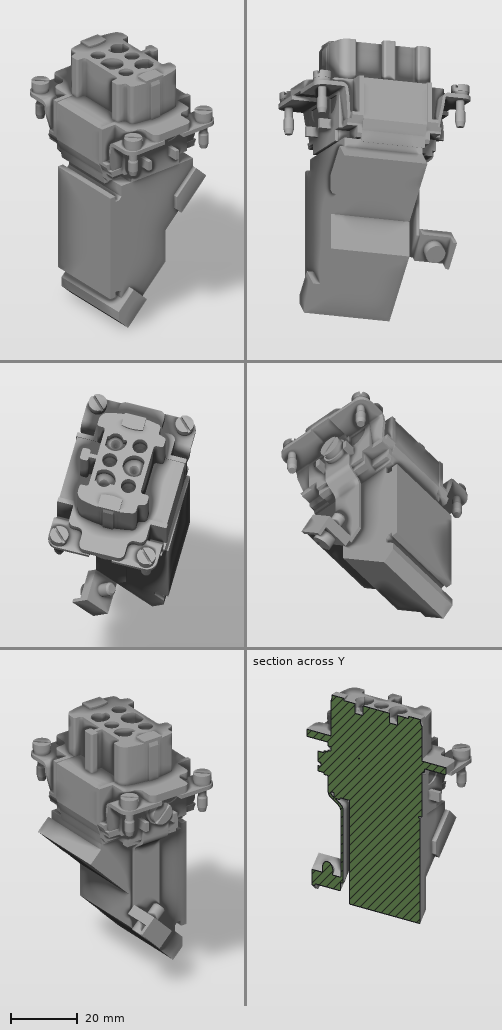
import cadquery as cq
import math

HEAD_TOP = 80.2
LATCH_TOP = 80.9
FLANGE_TOP = 67.3
FLANGE_BOTTOM = 64.75
SHEET = 1.3
INSERT_BOTTOM = 47.35
NECK_TOP = 48.1
OUTER_LEDGE_TOP = 53.8
INNER_LEDGE_TOP = 55.9
LEDGE_BOTTOM = 51.9

HEAD_WAIST_Y = 7.85
PANEL_X = 10.3
COLUMN_X = 11.7
INNER_LEDGE_X = 13.9
OUTER_LEDGE_X = 15.1
CORE_X = 16.35
CORE_Y = 12.0
RECESS_DEPTH = 0.5
FINGER_X = 17.3
FINGER_Y = 3.6
SKIRT_Y = 9.1
PANEL_Y = 16.75
COLUMN_Y = 17.0
BRACKET_Y = 16.9

SCREW_X = 22.3
SCREW_Y = 13.5
SCREW_HEAD_D = 5.5
SCREW_HEAD_TOP = 68.1
SCREW_SLOT = 0.8
BRACKET_LENGTH = 50.6
LEG_X = 18.6

STRAP_OUTER_X = -17.3
STRAP_LOWER_X = -12.7
STRAP_SHEET = 1.0
STRAP_Y = 4.6
STRAP_TOP = 62.2
STRAP_SCREW_Z = 57.6

HOOD_LEFT = -9.6
HOOD_RIGHT = 15.7
NOSE_RIGHT = 17.2
FOOT_RIGHT = 18.0


def box(x0, x1, y0, y1, z0, z1):
    """Axis-aligned block between two corners."""
    return cq.Workplane("XY").box(x1 - x0, y1 - y0, z1 - z0, centered=False).translate((x0, y0, z0))


def cylinder(diameter, x, y, z0, z1):
    """Upright cylinder."""
    return cq.Workplane("XY").center(x, y).circle(diameter / 2).extrude(z1 - z0).translate((0, 0, z0))


def extrude_yz(points, x0, x1):
    """Prism along X from a (Y, Z) outline."""
    return cq.Workplane("YZ").polyline(points).close().extrude(x1 - x0).translate((x0, 0, 0))


def four_corners(solid):
    """Copies of a +X +Y feature in all four corners."""
    pair = [solid, solid.mirror("YZ")]
    return pair + [half.mirror("XZ") for half in pair]


def contact_head():
    """Upright head with deep recesses along both long sides and rounded lobes at the ends."""
    rear_y = 10.45
    front_y = -10.7
    shoulder_y = -8.2
    half = (
        cq.Workplane("XY").moveTo(0, HEAD_WAIST_Y).lineTo(9.8, HEAD_WAIST_Y)
        .lineTo(9.95, rear_y).lineTo(14.2, rear_y)
        .threePointArc((15.9, 0), (14.8, shoulder_y)).lineTo(12.0, shoulder_y).lineTo(11.25, front_y)
        .lineTo(8.2, front_y).lineTo(8.0, -HEAD_WAIST_Y).lineTo(0, -HEAD_WAIST_Y).close()
        .extrude(HEAD_TOP - FLANGE_TOP)
    )
    corner_radii = [
        (9.8, HEAD_WAIST_Y, 0.7), (9.95, rear_y, 0.65), (14.2, rear_y, 2.8), (14.8, shoulder_y, 1.2),
        (12.0, shoulder_y, 0.6), (11.25, front_y, 1.05), (8.2, front_y, 0.7), (8.0, -HEAD_WAIST_Y, 0.9),
    ]
    for x, y, radius in corner_radii:
        corner = cq.selectors.BoxSelector((x - 0.1, y - 0.1, 0), (x + 0.1, y + 0.1, HEAD_TOP))
        half = half.edges(corner).fillet(radius)
    head = half.union(half.mirror("YZ")).translate((0, 0, FLANGE_TOP))
    return head.union(coding_key()).union(end_latches())


def coding_key():
    """T-shaped rib at the middle of the rear side."""
    stem = box(-0.65, 0.65, 7.3, 10.5, FLANGE_TOP, HEAD_TOP)
    bar = box(-1.95, 1.95, 10.1, 12.7, FLANGE_TOP, HEAD_TOP).edges("|Z").fillet(0.7)
    return stem.union(bar)


def end_latches():
    """Raised pad and slim vertical rib at each end of the head."""
    pad_y = 3.3
    end_x = 15.9
    root_x = 13.8
    overlap = 0.2
    pad = (
        cq.Workplane("XY").moveTo(end_x, -pad_y).lineTo(11.8, -pad_y)
        .threePointArc((11.3, 0), (11.8, pad_y)).lineTo(end_x, pad_y).close()
        .extrude(LATCH_TOP - HEAD_TOP + overlap).translate((0, 0, HEAD_TOP - overlap))
    )
    backing = box(root_x, end_x, -2.6, 2.6, FLANGE_TOP, LATCH_TOP)
    rib = box(root_x, CORE_X, -1.6, 1.6, FLANGE_TOP, 79.9)
    rib = rib.faces(">Z").edges(">X").chamfer(1.2, 0.5)
    latch = pad.union(backing).union(rib)
    return latch.union(latch.mirror("YZ"))


CONTACT_PITCH_X = 6.7
CONTACT_Y = 3.8
ROUND_BORE_D = 4.5
PIN_D = 3.0
CAVITY_D = 7.0
CAVITY_DEPTH = 3.2
CAVITY_FLAT = 2.7


def contact_tip(x, y, top):
    """Contact tip: a conical hole that ends in a point."""
    depth = 1.6
    cone = cq.Solid.makeCone(0, PIN_D / 2, depth, pnt=cq.Vector(x, y, top - depth))
    return cq.Workplane(obj=cone)


def plain_cavity(x, y):
    """Round cavity with a tapered bottom that leads into the contact tip."""
    floor = HEAD_TOP - CAVITY_DEPTH
    taper = 1.2
    bore = cylinder(ROUND_BORE_D, x, y, floor, HEAD_TOP)
    throat = cq.Solid.makeCone(PIN_D / 2, ROUND_BORE_D / 2, taper, pnt=cq.Vector(x, y, floor - taper))
    return bore.union(cq.Workplane(obj=throat)).union(contact_tip(x, y, floor - taper))


def wide_cavity(x, y):
    """Front centre cavity with a flat on its front side."""
    floor = HEAD_TOP - CAVITY_DEPTH
    radius = CAVITY_D / 2
    limit = box(x - radius, x + radius, y - CAVITY_FLAT, y + radius, floor, HEAD_TOP)
    return cylinder(CAVITY_D, x, y, floor, HEAD_TOP).intersect(limit).union(contact_tip(x, y, floor))


def keyed_cavity(x, y):
    """Rear cavity: a round bore widened towards the middle of the head and flat at the rear."""
    floor = HEAD_TOP - CAVITY_DEPTH
    radius = CAVITY_D / 2
    outer = x + math.copysign(0.8, x)
    inner = x - math.copysign(radius, x)
    limit = box(min(outer, inner), max(outer, inner), y - radius, y + CAVITY_FLAT, floor, HEAD_TOP)
    widened = cylinder(CAVITY_D, x, y, floor, HEAD_TOP).intersect(limit)
    return widened.union(cylinder(ROUND_BORE_D, x, y, floor, HEAD_TOP)).union(contact_tip(x, y, floor))


def contact_cavities():
    cut = wide_cavity(0, -CONTACT_Y).union(plain_cavity(0, CONTACT_Y))
    for x in (-CONTACT_PITCH_X, CONTACT_PITCH_X):
        cut = cut.union(plain_cavity(x, -CONTACT_Y)).union(keyed_cavity(x, CONTACT_Y))
    return cut


def flange():
    """Cross-shaped plate whose notched corners leave room for the screws."""
    height = FLANGE_TOP - FLANGE_BOTTOM
    long_x = 24.9
    long_y = 7.05
    step_x = 18.3
    outline = [
        (long_x, -long_y), (long_x, long_y), (step_x, long_y), (step_x, CORE_Y),
        (-step_x, CORE_Y), (-step_x, long_y), (-long_x, long_y), (-long_x, -long_y),
        (-step_x, -long_y), (-step_x, -CORE_Y), (step_x, -CORE_Y), (step_x, -long_y),
    ]
    plate = cq.Workplane("XY").polyline(outline).close().extrude(height).edges("|Z").fillet(1.9)
    return plate.translate((0, 0, FLANGE_BOTTOM))


def symmetric_prism(right_side, half_x):
    """Prism along X whose (Y, Z) outline is mirrored about Y = 0."""
    left_side = [(-y, z) for y, z in reversed(right_side)]
    return extrude_yz(right_side + left_side, -half_x, half_x)


def insert_body():
    """Columns, ledges, core and flange, with the side panels set between the columns."""
    column_side = [(COLUMN_Y, FLANGE_TOP), (COLUMN_Y, 54.95), (15.8, 52.6), (15.55, 49.85), (14.7, 48.7)]
    body = symmetric_prism(column_side, COLUMN_X)
    for half_x, top in ((OUTER_LEDGE_X, OUTER_LEDGE_TOP), (INNER_LEDGE_X, INNER_LEDGE_TOP)):
        slab = box(-half_x, half_x, -COLUMN_Y, COLUMN_Y, LEDGE_BOTTOM, top)
        body = body.union(symmetric_prism(column_side, half_x).intersect(slab))
    core = box(-CORE_X, CORE_X, -CORE_Y, CORE_Y, LEDGE_BOTTOM, FLANGE_BOTTOM)
    body = body.union(core).union(flange())

    panel_gap = box(-PANEL_X, PANEL_X, -COLUMN_Y, COLUMN_Y, INSERT_BOTTOM, FLANGE_TOP)
    body = body.cut(panel_gap).union(side_panels())
    return body.cut(end_recesses()).union(end_skirts()).union(end_tabs())


def side_panels():
    """Middle of the insert: long side panels set back slightly from the columns."""
    slope_y = 14.1
    slope_drop = 0.2
    panel_top = 67.0
    panel_side = [(slope_y, panel_top), (PANEL_Y, panel_top - slope_drop), (PANEL_Y, 54.15), (15.55, 50.75),
                  (14.9, INSERT_BOTTOM)]
    seat = box(-PANEL_X, PANEL_X, -HEAD_WAIST_Y, HEAD_WAIST_Y, FLANGE_BOTTOM, FLANGE_TOP)
    return symmetric_prism(panel_side, PANEL_X).union(seat)


def end_recesses():
    """Round-cornered recess in each end face, interrupted by a pad behind the strap."""
    half_y = 10.2
    bottom = 57.6
    top = 62.5
    recess = box(CORE_X - RECESS_DEPTH, CORE_X, -half_y, half_y, bottom, top)
    recess = recess.edges("|X").edges("<Z").fillet(4.7)
    pad = box(CORE_X - RECESS_DEPTH, CORE_X, -STRAP_Y, STRAP_Y, bottom, top)
    recess = recess.cut(pad)
    return recess.union(recess.mirror("YZ"))


def end_skirts():
    """Skirt under each end of the insert, stepped up towards the middle."""
    step_x = -12.95
    upper_y = SKIRT_Y - 0.2
    upper = box(-CORE_X, CORE_X, -upper_y, upper_y, 48.5, LEDGE_BOTTOM)
    right = box(PANEL_X, OUTER_LEDGE_X, -SKIRT_Y, SKIRT_Y, NECK_TOP, LEDGE_BOTTOM)
    left = box(-OUTER_LEDGE_X, step_x, -SKIRT_Y, SKIRT_Y, 46.7, LEDGE_BOTTOM)
    left_step = box(step_x, -PANEL_X, -SKIRT_Y, SKIRT_Y, INSERT_BOTTOM, LEDGE_BOTTOM)
    return upper.union(right).union(left).union(left_step)


def end_tabs():
    """Two flat prongs beside the strap and two round-ended fingers on each end face."""
    prong_x = 20.15
    prong_y = 5.9
    prong_bottom = 52.9
    finger_gap = 1.45
    finger_bottom = 62.25
    tabs = box(COLUMN_X, prong_x, -prong_y, prong_y, prong_bottom, INNER_LEDGE_TOP)
    tabs = tabs.cut(box(CORE_X, prong_x, -STRAP_Y, STRAP_Y, prong_bottom, INNER_LEDGE_TOP))
    for y0, y1 in ((finger_gap, FINGER_Y), (-FINGER_Y, -finger_gap)):
        finger = box(CORE_X - RECESS_DEPTH, FINGER_X, y0, y1, finger_bottom, FLANGE_BOTTOM)
        tabs = tabs.union(finger.edges("|X and <Z").fillet(0.8))
    return tabs.union(tabs.mirror("YZ"))


def corner_brackets():
    """Flat sheet at each end with a leg bent down at both corners."""
    bottom = FLANGE_BOTTOM - SHEET
    corner_radius = 3.2
    sheet = box(CORE_X - RECESS_DEPTH, BRACKET_LENGTH / 2, -BRACKET_Y, BRACKET_Y, bottom, FLANGE_BOTTOM)
    sheet = sheet.edges("|Z and >X").fillet(corner_radius)
    sheet = sheet.cut(box(FINGER_X, BRACKET_LENGTH / 2, -FINGER_Y, FINGER_Y, bottom, FLANGE_BOTTOM))
    for y0, y1 in ((CORE_Y, BRACKET_Y), (-BRACKET_Y, -CORE_Y)):
        sheet = sheet.cut(box(0, LEG_X, y0, y1, bottom, FLANGE_BOTTOM))
    brackets = sheet.union(sheet.mirror("YZ"))
    for leg in four_corners(bracket_leg()):
        brackets = brackets.union(leg)
    return brackets


def bracket_leg():
    """Slightly sloping leg with a rounded bend, narrowed towards its lower end."""
    top_y = (CORE_Y + BRACKET_Y) / 2
    bottom = FLANGE_BOTTOM - SHEET
    outer_bend_x = 15.55
    inner_bend_x = 16.3
    outline = [(LEG_X, FLANGE_BOTTOM), (outer_bend_x, FLANGE_BOTTOM), (13.85, OUTER_LEDGE_TOP),
               (14.8, OUTER_LEDGE_TOP), (inner_bend_x, bottom), (LEG_X, bottom)]
    leg = cq.Workplane("XZ").polyline(outline).close().extrude(-(BRACKET_Y - CORE_Y))
    leg = leg.translate((0, CORE_Y, 0))
    leg = leg.edges(cq.selectors.NearestToPointSelector((outer_bend_x, top_y, FLANGE_BOTTOM))).fillet(2.1)
    leg = leg.edges(cq.selectors.NearestToPointSelector((inner_bend_x, top_y, bottom))).fillet(0.5)
    taper = [(BRACKET_Y, 60.7), (15.4, OUTER_LEDGE_TOP), (BRACKET_Y, OUTER_LEDGE_TOP)]
    return leg.cut(extrude_yz(taper, 0, LEG_X))


def corner_screw():
    """Slotted screw with a washer, a slim shank and a thicker chamfered tip."""
    washer_d = 5.2
    shank_d = 2.5
    tip_d = 3.1
    washer_top = 66.0
    slot_depth = 1.05
    washer = cylinder(washer_d, 0, 0, FLANGE_BOTTOM, washer_top)
    head = cylinder(SCREW_HEAD_D, 0, 0, washer_top, SCREW_HEAD_TOP)
    slot = box(-SCREW_HEAD_D, SCREW_HEAD_D, -SCREW_SLOT / 2, SCREW_SLOT / 2,
               SCREW_HEAD_TOP - slot_depth, SCREW_HEAD_TOP)
    head = head.cut(slot.rotate((0, 0, 0), (0, 0, 1), 45))
    tip_bottom = 55.4
    tip_top = 60.5
    shank = cylinder(shank_d, 0, 0, tip_top - 0.8, FLANGE_BOTTOM)
    tip = cylinder(tip_d, 0, 0, tip_bottom, tip_top)
    tip = tip.faces(">Z").chamfer(0.6, 0.25).faces("<Z").chamfer(1.5, 0.4)
    return washer.union(head).union(shank).union(tip)


CLAMP_CENTER = (1.45, 21.7)
CLAMP_HALF = 4.6
CLAMP_DEPTH = 6.5
CLAMP_PLATE = 3.3
CLAMP_LEFT = -23.0
CLAMP_LIP = 1.1
CLAMP_BOLT_X = -17.4
STRAP_END_DEPTH = 1.4


def strap():
    """Sheet strip that steps inwards in a soft S-bend and ends on the clamp's slope."""
    bend_radius = 2.4
    bend_top = 47.35
    bend_bottom = 44.2
    lower_end = 12.15
    outer = [(STRAP_OUTER_X, STRAP_TOP), (STRAP_OUTER_X, bend_top), (STRAP_LOWER_X, bend_bottom),
             (STRAP_LOWER_X, lower_end)]
    inner = [(x + STRAP_SHEET, z + shift) for (x, z), shift in zip(reversed(outer), (0, 0.5, 0.5, 0))]
    strip = cq.Workplane("XZ").polyline(outer + inner).close().extrude(STRAP_Y, both=True)
    for x, z in outer[1:3] + inner[1:3]:
        bend = cq.selectors.BoxSelector((x - 0.1, -0.8, z - 0.1), (x + 0.1, 0.8, z + 0.1))
        strip = strip.edges(bend).fillet(bend_radius)
    return strip.intersect(strap_silhouette())


def strap_silhouette():
    """Strap outline in Y and Z: a straight strip cut off along the clamp's lower end."""
    upper_y, upper_z = clamp_point(-CLAMP_HALF, 0)
    end_y, end_z = clamp_point(CLAMP_HALF, -STRAP_END_DEPTH)
    slope_z = end_z + STRAP_Y + end_y
    outline = [(STRAP_Y, STRAP_TOP), (-STRAP_Y, STRAP_TOP), (-STRAP_Y, slope_z), (end_y, end_z),
               clamp_point(-CLAMP_HALF, -STRAP_END_DEPTH), (upper_y, upper_z), (STRAP_Y, upper_z)]
    return extrude_yz(outline, STRAP_OUTER_X, STRAP_LOWER_X + STRAP_SHEET)


def clamp_point(along, out):
    """(Y, Z) of a point down the slope and out of the clamp's upper face."""
    diagonal = math.sqrt(0.5)
    center_y, center_z = CLAMP_CENTER
    return center_y - (along + out) * diagonal, center_z + (out - along) * diagonal


def clamp_block(x0, x1, depth):
    corners = [clamp_point(-CLAMP_HALF, 0), clamp_point(CLAMP_HALF, 0),
               clamp_point(CLAMP_HALF, -depth), clamp_point(-CLAMP_HALF, -depth)]
    return extrude_yz(corners, x0, x1)


def clamp_plane(out):
    """Plane square to the clamp's bolt, its origin on the bolt axis."""
    return cq.Plane(origin=(CLAMP_BOLT_X, *clamp_point(0, out)), xDir=(1, 0, 0), normal=(0, -1, 1))


def clamp():
    """Sloping clamp plate with a side lip, a bolt through it and the round bolt head below."""
    bolt_d = 4.0
    bolt_length = 4.2
    head_d = 6.0
    plate = clamp_block(CLAMP_LEFT, STRAP_LOWER_X, CLAMP_PLATE)
    lip = clamp_block(CLAMP_LEFT, CLAMP_LEFT + CLAMP_LIP, CLAMP_DEPTH)
    bolt = cq.Workplane(clamp_plane(0)).circle(bolt_d / 2).extrude(bolt_length)
    bolt = bolt.faces(cq.selectors.DirectionMinMaxSelector(cq.Vector(0, -1, 1))).chamfer(0.6)
    head = cq.Workplane(clamp_plane(-CLAMP_DEPTH)).circle(head_d / 2).extrude(CLAMP_DEPTH - CLAMP_PLATE)
    return plate.union(lip).union(bolt).union(head)


def strap_screw():
    """Slotted cheese-head screw on a washer that holds the strap to the insert."""
    washer_x = STRAP_OUTER_X - 1.4
    head_x = -20.9
    washer_d = 8.2
    head_d = 7.0
    slot_depth = 1.0
    slot_half = SCREW_SLOT / 2
    face = cq.Workplane("YZ").center(0, STRAP_SCREW_Z)
    washer = face.circle(washer_d / 2).extrude(washer_x - STRAP_OUTER_X).translate((STRAP_OUTER_X, 0, 0))
    head = face.circle(head_d / 2).extrude(head_x - washer_x).translate((washer_x, 0, 0))
    slot = box(head_x, head_x + slot_depth, -head_d, head_d,
               STRAP_SCREW_Z - slot_half, STRAP_SCREW_Z + slot_half)
    slot = slot.rotate((0, 0, STRAP_SCREW_Z), (1, 0, STRAP_SCREW_Z), -45)
    return washer.union(head.cut(slot))


TIP_Y, TIP_Z = 18.7, 41.45
FOOT_Y = -12.0
TOE_Y = -15.55
TOE_TOP = 6.6
FRONT_Y = -17.0
COVER_BACK_Y = -15.05
COVER_BOTTOM = 10.6
COVER_TOP = 45.25
GROOVE_TOP = 12.4
GROOVE_CHAMFER = 1.0
NECK_FRONT_Y = -12.7
NECK_BACK_Y = 14.8
STEP_Y = 4.2


def hood_block():
    """Hood with a 45 degree stepped underside and a front cover plate hooked at both ends."""
    upper_groove_z = COVER_TOP - (GROOVE_TOP - COVER_BOTTOM)
    upper_slope_z = TIP_Z - (TIP_Y - STEP_Y)
    lower_slope_z = STEP_Y - FOOT_Y
    outline = [
        (NECK_BACK_Y, NECK_TOP), (NECK_BACK_Y, TIP_Z + TIP_Y - NECK_BACK_Y), (TIP_Y, TIP_Z),
        (STEP_Y, upper_slope_z), (STEP_Y, lower_slope_z), (FOOT_Y, 0), (TOE_Y, FOOT_Y - TOE_Y),
        (TOE_Y, TOE_TOP), (NECK_FRONT_Y, TOE_TOP + NECK_FRONT_Y - TOE_Y),
        (NECK_FRONT_Y, GROOVE_TOP - GROOVE_CHAMFER), (NECK_FRONT_Y - GROOVE_CHAMFER, GROOVE_TOP),
        (COVER_BACK_Y, GROOVE_TOP), (COVER_BACK_Y, COVER_BOTTOM), (FRONT_Y, COVER_BOTTOM),
        (FRONT_Y, COVER_TOP), (COVER_BACK_Y, COVER_TOP), (COVER_BACK_Y, upper_groove_z),
        (NECK_FRONT_Y - GROOVE_CHAMFER, upper_groove_z), (NECK_FRONT_Y, upper_groove_z + GROOVE_CHAMFER),
        (NECK_FRONT_Y, NECK_TOP),
    ]
    return extrude_yz(outline, HOOD_LEFT, HOOD_RIGHT)


def hood_ends():
    """Thicker nose and foot that stand out on the +X side at the two tips."""
    nose_back_z = TIP_Z + TIP_Y - NECK_BACK_Y
    heel_y = 9.15
    heel_z = TIP_Z - (TIP_Y - heel_y)
    heel_chamfer = 1.8
    nose_front_y = heel_y - heel_chamfer
    nose = [(TIP_Y, TIP_Z), (heel_y, heel_z), (nose_front_y, heel_z + heel_chamfer),
            (nose_front_y, nose_back_z - NECK_BACK_Y + nose_front_y), (NECK_BACK_Y, nose_back_z)]
    foot_top_y = TOE_Y + GROOVE_TOP - TOE_TOP
    foot_back_y = (foot_top_y + GROOVE_TOP + FOOT_Y) / 2
    foot = [(FOOT_Y, 0), (TOE_Y, FOOT_Y - TOE_Y), (TOE_Y, TOE_TOP), (foot_top_y, GROOVE_TOP),
            (foot_back_y, foot_back_y - FOOT_Y)]
    return extrude_yz(nose, HOOD_LEFT, NOSE_RIGHT).union(extrude_yz(foot, HOOD_LEFT, FOOT_RIGHT))


connector = insert_body().union(contact_head()).cut(contact_cavities()).union(corner_brackets())
for x in (-SCREW_X, SCREW_X):
    for y in (-SCREW_Y, SCREW_Y):
        connector = connector.union(corner_screw().translate((x, y, 0)))
grounding = strap().union(clamp()).union(strap_screw())
result = connector.union(grounding).union(hood_block()).union(hood_ends())